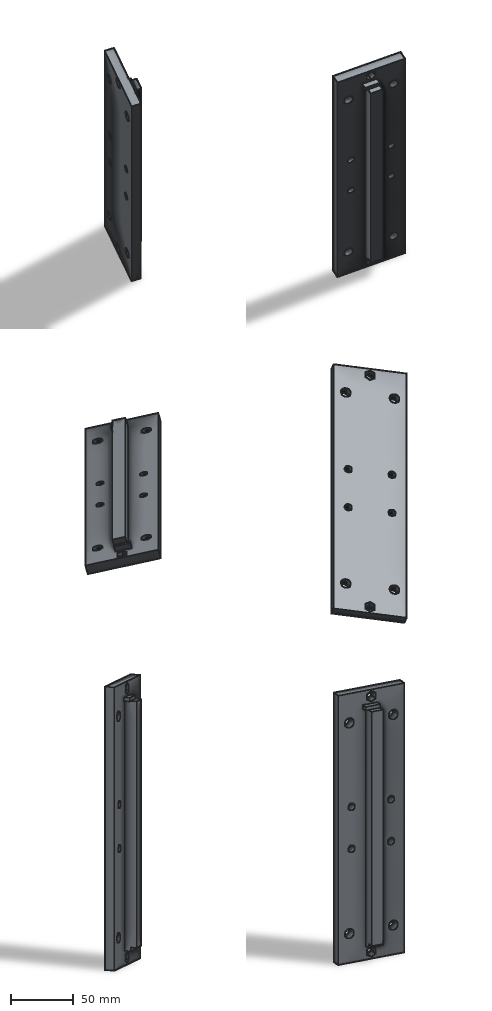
import cadquery as cq

plate_width = 60.0
plate_height = 230.0
total_depth = 18.0

rail_depth = 10.0
rail_width = 10.5
rail_length = 200.0
tab_depth = rail_depth / 2
tab_length = 3.0
tab_overhang = 2.8

mount_diameter = 8.0
mount_x = 20.0
mount_z = 90.0
center_diameter = 6.0
center_offset = 18.0
hex_corner_diameter = 9.0
hex_edge_distance = 6.0

plate_depth = total_depth - rail_depth
hex_z = plate_height / 2 - hex_edge_distance


def through_cutter(sketch):
    """Extrude a front-face sketch through the plate toward +Y."""
    return sketch.extrude(-plate_depth)


def hole_square(diameter, x, z):
    """Four round holes, mirrored about both plate center lines."""
    points = [(sx * x, sz * z) for sx in (-1, 1) for sz in (-1, 1)]
    return through_cutter(cq.Workplane("XZ").pushPoints(points).circle(diameter / 2))


def hex_holes():
    """Hexagonal holes near the plate ends, with corners toward +Z and -Z."""
    cutters = cq.Workplane("XY")
    for z in (-hex_z, hex_z):
        sketch = cq.Workplane("XZ").center(0, z).transformed(rotate=(0, 0, 90))
        cutters = cutters.add(through_cutter(sketch.polygon(6, hex_corner_diameter)))
    return cutters.combine()


def end_tab(side):
    """Tab at the +Z end (side = 1) or -Z end (side = -1), overhanging toward the same sign of X."""
    x = side * tab_overhang / 2
    z = side * (rail_length + tab_length) / 2
    return (
        cq.Workplane("XY")
        .box(rail_width + tab_overhang, tab_depth, tab_length, centered=(True, False, True))
        .translate((x, plate_depth, z))
    )


plate = cq.Workplane("XY").box(plate_width, plate_depth, plate_height, centered=(True, False, True))
plate = plate.cut(hole_square(mount_diameter, mount_x, mount_z))
plate = plate.cut(hole_square(center_diameter, center_offset, center_offset))
plate = plate.cut(hex_holes())

rail = (
    cq.Workplane("XY")
    .box(rail_width, rail_depth, rail_length, centered=(True, False, True))
    .translate((0, plate_depth, 0))
)

result = plate.union(rail).union(end_tab(1)).union(end_tab(-1))